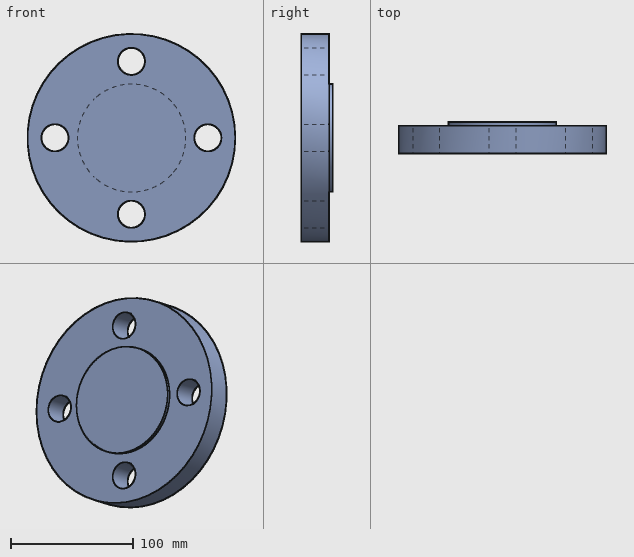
import cadquery as cq

flange_diameter = 170.0
total_thickness = 26.0
raised_face_diameter = 88.4
raised_face_height = 3.0
bolt_circle_diameter = 125.0
bolt_hole_diameter = 22.0
bolt_count = 4

plate_thickness = total_thickness - raised_face_height


def disc(diameter, start_y, thickness):
    """Solid disc reaching from start_y towards +Y."""
    plane = cq.Workplane("XZ", origin=(0, start_y, 0))
    return plane.circle(diameter / 2).extrude(-thickness)


plate = disc(flange_diameter, 0, plate_thickness)
raised_face = disc(raised_face_diameter, plate_thickness, raised_face_height)

bolt_holes = (
    cq.Workplane("XZ")
    .polarArray(bolt_circle_diameter / 2, 0, 360, bolt_count)
    .circle(bolt_hole_diameter / 2)
    .extrude(-plate_thickness)
)

result = plate.union(raised_face).cut(bolt_holes)